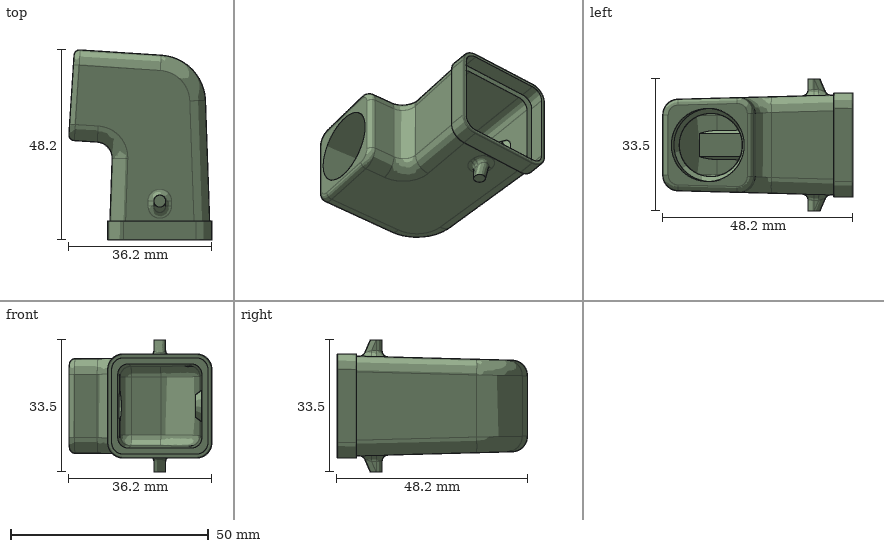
import cadquery as cq
import math

COLLAR_SIZE = 26.4
COLLAR_DEPTH = 4.9
COLLAR_CORNER_RADIUS = 4.0
COLLAR_EDGE_RADIUS = 0.2
RECESS_SIZE = 24.4
RECESS_DEPTH = 4.0
RECESS_CORNER_RADIUS = 3.0

BODY_HALF_SIZE = 12.65
LEG_SIDE_DRAFT = 2.0
LEG_HEIGHT_DRAFT = 1.5
BODY_EDGE_RADIUS = 4.0
OUTER_BEND_RADIUS = 12.0
INNER_BEND_RADIUS = 4.0

ARM_TILT = 3.7
ARM_WIDTH = 23.05
MOUTH_X = -22.39
MOUTH_Y = 36.77
MOUTH_EDGE_RADIUS = 1.5
BORE_DIAMETER = 18.5
BORE_DEPTH = 10.3
LIP_DIAMETER = 16.0
LIP_REACH = 16.0

WALL = 2.0
CAVITY_DRAFT = 0.9
CAVITY_BEND_RADIUS = 10.6
CAVITY_EDGE_RADIUS = 2.7

RIB_CREST_X = 9.1
RIB_CREST_HALF_WIDTH = 2.9
RIB_FLARE = 36.0
RIB_START_Y = 11.5
RIB_END_Y = 50.0
RIB_ROOT_DEPTH = 2.55

PIN_DIAMETER = 3.0
PIN_Y = 9.9
PIN_TIP_Z = 16.75
PIN_ROOT_Z = 11.0
PIN_BACK_SLOPE = 0.44
PIN_TIP_FLAT = 0.02
PIN_ROOT_RADIUS = 1.5

SELECTION_MARGIN = 0.5

tilt = math.radians(ARM_TILT)
cavity_half_size = BODY_HALF_SIZE - WALL


def meet_arm(side, start_half, start_y, draft, arm_offset):
    """Corner where a drafted leg side (side = +1 or -1) meets a line along the arm.

    The leg side starts start_half from the leg axis at start_y; the line runs
    parallel to the arm axis, arm_offset from it towards +Y.
    """
    side_slope = math.tan(math.radians(draft))
    arm_slope = math.tan(tilt)
    half_at_zero = start_half + start_y * side_slope
    arm_y_at_zero = MOUTH_Y + MOUTH_X * arm_slope + arm_offset / math.cos(tilt)
    y = (arm_y_at_zero - side * half_at_zero * arm_slope) / (1 - side * side_slope * arm_slope)
    return side * (half_at_zero - y * side_slope), y


def mouth_corner(side):
    """End of the mouth face on the +Y (side = +1) or -Y (side = -1) face of the arm."""
    half = side * ARM_WIDTH / 2
    return MOUTH_X + half * math.sin(tilt), MOUTH_Y + half * math.cos(tilt)


def drafted_slab(start_y, start_half_height, draft):
    """Wedge between two drafted Z faces, wide enough to cover the whole elbow."""
    reach = 2 * COLLAR_SIZE
    end_half_height = start_half_height - (reach - start_y) * math.tan(math.radians(draft))
    return (
        cq.Workplane("YZ")
        .polyline([
            (start_y, -start_half_height),
            (reach, -end_half_height),
            (reach, end_half_height),
            (start_y, start_half_height),
        ])
        .close()
        .extrude(reach, both=True)
    )


def bend_edge(x, y):
    """Selector for the edge along Z that passes through (x, y)."""
    return cq.selectors.BoxSelector(
        (x - SELECTION_MARGIN, y - SELECTION_MARGIN, -COLLAR_SIZE),
        (x + SELECTION_MARGIN, y + SELECTION_MARGIN, COLLAR_SIZE),
    )


def make_body():
    """Elbow without its openings."""
    outer_corner = meet_arm(1, BODY_HALF_SIZE, COLLAR_DEPTH, LEG_SIDE_DRAFT, ARM_WIDTH / 2)
    inner_corner = meet_arm(-1, BODY_HALF_SIZE, COLLAR_DEPTH, LEG_SIDE_DRAFT, -ARM_WIDTH / 2)
    outline = [
        (-BODY_HALF_SIZE, COLLAR_DEPTH),
        (BODY_HALF_SIZE, COLLAR_DEPTH),
        outer_corner,
        mouth_corner(1),
        mouth_corner(-1),
        inner_corner,
    ]
    body = cq.Workplane("XY").polyline(outline).close().extrude(COLLAR_SIZE, both=True)
    body = body.edges(bend_edge(*outer_corner)).fillet(OUTER_BEND_RADIUS)
    body = body.edges(bend_edge(*inner_corner)).fillet(INNER_BEND_RADIUS)
    body = body.intersect(drafted_slab(COLLAR_DEPTH, BODY_HALF_SIZE, LEG_HEIGHT_DRAFT))
    body = body.faces(">Z or <Z").edges("not(<X or <Y)").fillet(BODY_EDGE_RADIUS)
    return body.faces("<X").edges().fillet(MOUTH_EDGE_RADIUS)


def rounded_square(size, depth, corner_radius):
    """Square block along Y from the mating face, with rounded corners."""
    return (
        cq.Workplane("XZ")
        .rect(size, size)
        .extrude(-depth)
        .edges("|Y")
        .fillet(corner_radius)
    )


def make_collar():
    collar = rounded_square(COLLAR_SIZE, COLLAR_DEPTH, COLLAR_CORNER_RADIUS)
    return collar.faces("<Y or >Y").edges().fillet(COLLAR_EDGE_RADIUS)


def make_cavity():
    """Room inside the leg, offset by the wall thickness and closed at its -X side."""
    back_offset = ARM_WIDTH / 2 - WALL
    outer_corner = meet_arm(1, cavity_half_size, RECESS_DEPTH, CAVITY_DRAFT, back_offset)
    left_corner = meet_arm(-1, cavity_half_size, RECESS_DEPTH, CAVITY_DRAFT, back_offset)
    outline = [
        (-cavity_half_size, RECESS_DEPTH),
        (cavity_half_size, RECESS_DEPTH),
        outer_corner,
        left_corner,
    ]
    cavity = cq.Workplane("XY").polyline(outline).close().extrude(COLLAR_SIZE, both=True)
    cavity = cavity.edges(bend_edge(*outer_corner)).fillet(CAVITY_BEND_RADIUS)
    cavity = cavity.intersect(drafted_slab(RECESS_DEPTH, cavity_half_size, CAVITY_DRAFT))
    cavity = cavity.edges(bend_edge(*left_corner)).fillet(CAVITY_EDGE_RADIUS)
    return cavity.faces(">Z or <Z").edges("not <Y").fillet(CAVITY_EDGE_RADIUS)


def make_rib():
    """Round-ended rib along Y that flares from its crest into the +X wall."""
    length = RIB_END_Y - RIB_START_Y
    crest = cq.Workplane("YZ", origin=(RIB_CREST_X, (RIB_START_Y + RIB_END_Y) / 2, 0))
    return crest.slot2D(length, 2 * RIB_CREST_HALF_WIDTH).extrude(RIB_ROOT_DEPTH, taper=-RIB_FLARE)


def make_bore():
    """Outlet bore, turned about the tilted arm axis, narrowing to a lip at the cavity."""
    bore_radius = BORE_DIAMETER / 2
    lip_radius = LIP_DIAMETER / 2
    side_direction = (math.sin(tilt), math.cos(tilt), 0)
    section = cq.Plane(origin=(MOUTH_X, MOUTH_Y, 0), xDir=(0, 0, 1), normal=side_direction)
    return (
        cq.Workplane(section)
        .polyline([
            (0, 0),
            (bore_radius, 0),
            (bore_radius, BORE_DEPTH),
            (lip_radius, BORE_DEPTH + bore_radius - lip_radius),
            (lip_radius, LIP_REACH),
            (0, LIP_REACH),
        ])
        .close()
        .revolve(360, (0, 0), (0, 1))
    )


def pin_outline(z, straight):
    """Slot outline along Y at height z; its far round end is centred on the pin axis."""
    plane = cq.Workplane("XY", origin=(0, PIN_Y - straight / 2, z))
    return plane.slot2D(straight + PIN_DIAMETER, PIN_DIAMETER, 90).wires().val()


def make_pin():
    """Pin pointing to +Z that widens towards the collar at its root."""
    root = pin_outline(PIN_ROOT_Z, (PIN_TIP_Z - PIN_ROOT_Z) * PIN_BACK_SLOPE)
    tip = pin_outline(PIN_TIP_Z, PIN_TIP_FLAT)
    return cq.Workplane(cq.Solid.makeLoft([root, tip], True))


def add_pins(body):
    """Body with a pin on each Z face, blended in with a root fillet."""
    pin = make_pin()
    body = body.union(pin).union(pin.mirror("XY"))
    for side in (1, -1):
        root_z = side * BODY_HALF_SIZE
        root_edges = cq.selectors.BoxSelector(
            (-PIN_DIAMETER, COLLAR_DEPTH + SELECTION_MARGIN, root_z - SELECTION_MARGIN),
            (PIN_DIAMETER, PIN_Y + PIN_DIAMETER, root_z + SELECTION_MARGIN),
        )
        body = body.edges(root_edges).fillet(PIN_ROOT_RADIUS)
    return body


recess = rounded_square(RECESS_SIZE, RECESS_DEPTH, RECESS_CORNER_RADIUS)
cavity = make_cavity().cut(make_rib())
result = add_pins(make_body()).union(make_collar())
result = result.cut(recess).cut(cavity).cut(make_bore())